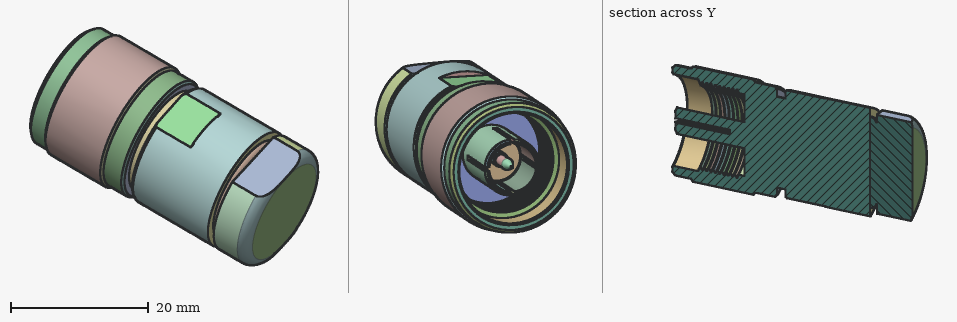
import cadquery as cq
import math

TOTAL_LENGTH = 39.0
OVERCUT = 0.4

SLEEVE_RADIUS = 9.65
GRIP_DIAMETER = 20.0
GRIP_RADIUS = GRIP_DIAMETER / 2
GRIP_START = 3.05
GRIP_END = 13.53
SLEEVE_END = 17.05
FRONT_CHAMFER = 0.5
SMALL_CHAMFER = 0.35

NECK_RADIUS = 8.2
BARREL_DIAMETER = 19.0
BARREL_RADIUS = BARREL_DIAMETER / 2
BARREL_START = 18.35
BARREL_END = 32.13
BARREL_CHAMFER_DEPTH = 0.25
BARREL_FLAT_OFFSET = 8.75
BARREL_FLAT_END = 24.88

MOUTH_RADIUS = 8.42
MOUTH_CHAMFER = 0.25
BORE_END = 4.17
LEAD_IN_LENGTH = 0.43
THREAD_MINOR_RADIUS = 7.45
THREAD_MAJOR_RADIUS = 7.95
THREAD_PITCH = 0.7
THREAD_CREST_WIDTH = 0.1
THREAD_TURNS = 9
CAVITY_FLOOR = 11.7

CONTACT_RADIUS = 4.17
CONTACT_BORE_RADIUS = 3.55
CONTACT_START = 0.45
CONTACT_CHAMFER = 0.3
CONTACT_SLOT_WIDTH = 0.62
CONTACT_SLOT_END = 9.35

PLUG_START = 7.8
PLUG_CHAMFER = 0.2

PIN_RADIUS = 0.85
PIN_TIP_RADIUS = 0.2
PIN_START = 0.97
PIN_TAPER = 2.15
PIN_BASE_RADIUS = 1.05
PIN_BASE_START = 6.25

NUT_RADIUS = BARREL_RADIUS
NUT_START = 33.18
NUT_END_ROUND = 1.6
NUT_RING_ROUND = 0.97
NUT_FLAT_OFFSET = 8.0
NUT_TURN = 1.8


def revolve_about_x(profile):
    return profile.close().revolve(360, (0, 0, 0), (1, 0, 0))


def outer_shape():
    profile = (
        cq.Workplane("XY")
        .moveTo(0, 0)
        .lineTo(0, SLEEVE_RADIUS - FRONT_CHAMFER)
        .lineTo(FRONT_CHAMFER, SLEEVE_RADIUS)
        .lineTo(GRIP_START, SLEEVE_RADIUS)
        .lineTo(GRIP_START + SMALL_CHAMFER, GRIP_RADIUS)
        .lineTo(GRIP_END - SMALL_CHAMFER, GRIP_RADIUS)
        .lineTo(GRIP_END, SLEEVE_RADIUS)
        .lineTo(SLEEVE_END - SMALL_CHAMFER, SLEEVE_RADIUS)
        .lineTo(SLEEVE_END, SLEEVE_RADIUS - SMALL_CHAMFER)
        .lineTo(SLEEVE_END, NECK_RADIUS)
        .lineTo(BARREL_START, NECK_RADIUS)
        .lineTo(BARREL_START, BARREL_RADIUS - BARREL_CHAMFER_DEPTH)
        .lineTo(BARREL_START + SMALL_CHAMFER, BARREL_RADIUS)
        .lineTo(BARREL_END, BARREL_RADIUS)
        .lineTo(BARREL_END, 0)
    )
    return revolve_about_x(profile)


def mating_cavity():
    """Open bore, lead-in cone and ring-shaped thread grooves, down to the floor."""
    bore_radius = MOUTH_RADIUS - MOUTH_CHAMFER
    thread_start = BORE_END + LEAD_IN_LENGTH
    profile = (
        cq.Workplane("XY")
        .moveTo(0, 0)
        .lineTo(0, MOUTH_RADIUS)
        .lineTo(MOUTH_CHAMFER, bore_radius)
        .lineTo(BORE_END, bore_radius)
        .lineTo(thread_start, THREAD_MINOR_RADIUS)
    )
    groove_width = THREAD_PITCH - THREAD_CREST_WIDTH
    for turn in range(THREAD_TURNS):
        groove_start = thread_start + turn * THREAD_PITCH
        profile = (
            profile
            .lineTo(groove_start + groove_width / 2, THREAD_MAJOR_RADIUS)
            .lineTo(groove_start + groove_width, THREAD_MINOR_RADIUS)
            .lineTo(groove_start + THREAD_PITCH, THREAD_MINOR_RADIUS)
        )
    profile = profile.lineTo(CAVITY_FLOOR, THREAD_MINOR_RADIUS).lineTo(CAVITY_FLOOR, 0)
    return revolve_about_x(profile)


def outer_contact():
    """Thin tube around the pin, split into four fingers."""
    profile = (
        cq.Workplane("XY")
        .moveTo(CONTACT_START, CONTACT_BORE_RADIUS)
        .lineTo(CONTACT_START, CONTACT_RADIUS - CONTACT_CHAMFER)
        .lineTo(CONTACT_START + CONTACT_CHAMFER, CONTACT_RADIUS)
        .lineTo(CAVITY_FLOOR, CONTACT_RADIUS)
        .lineTo(CAVITY_FLOOR, CONTACT_BORE_RADIUS)
    )
    tube = revolve_about_x(profile)
    slot_span = 2 * (CONTACT_RADIUS + OVERCUT)
    slot = cq.Workplane("XY").box(
        CONTACT_SLOT_END, CONTACT_SLOT_WIDTH, slot_span, centered=(False, True, True)
    )
    for angle in (0, 90):
        tube = tube.cut(slot.rotate((0, 0, 0), (1, 0, 0), angle))
    return tube


def insulator_plug():
    profile = (
        cq.Workplane("XY")
        .moveTo(PLUG_START, 0)
        .lineTo(PLUG_START, CONTACT_BORE_RADIUS - PLUG_CHAMFER)
        .lineTo(PLUG_START + PLUG_CHAMFER, CONTACT_BORE_RADIUS)
        .lineTo(CAVITY_FLOOR, CONTACT_BORE_RADIUS)
        .lineTo(CAVITY_FLOOR, 0)
    )
    return revolve_about_x(profile)


def centre_pin():
    profile = (
        cq.Workplane("XY")
        .moveTo(PIN_START, 0)
        .lineTo(PIN_START, PIN_TIP_RADIUS)
        .lineTo(PIN_START + PIN_TAPER, PIN_RADIUS)
        .lineTo(PIN_BASE_START, PIN_RADIUS)
        .lineTo(PIN_BASE_START + PIN_BASE_RADIUS - PIN_RADIUS, PIN_BASE_RADIUS)
        .lineTo(CAVITY_FLOOR, PIN_BASE_RADIUS)
        .lineTo(CAVITY_FLOOR, 0)
    )
    return revolve_about_x(profile)


def flat_cutters(start, end, offset):
    """Two blocks, above and below the axis, that leave flats at the given offset."""
    span = 2 * GRIP_RADIUS
    block = cq.Workplane("XY").box(end - start, span, span, centered=(False, True, False))
    upper = block.translate((start, 0, offset))
    return upper.add(upper.rotate((0, 0, 0), (1, 0, 0), 180)).combine()


def build_connector():
    """Front body: coupling sleeve, neck, barrel and the contacts inside it."""
    barrel_flats = flat_cutters(BARREL_START, BARREL_FLAT_END, BARREL_FLAT_OFFSET)
    shell = outer_shape().cut(mating_cavity()).cut(barrel_flats)
    return shell.union(outer_contact()).union(insulator_plug()).union(centre_pin())


def build_clamping_nut():
    """Rear nut with two flats and a narrower ring that meets the barrel end."""
    ring_round_x = NUT_START - NUT_RING_ROUND
    ring_round_r = NECK_RADIUS - NUT_RING_ROUND
    end_round_x = TOTAL_LENGTH - NUT_END_ROUND
    end_round_r = NUT_RADIUS - NUT_END_ROUND
    diagonal = math.sqrt(0.5)
    profile = (
        cq.Workplane("XY")
        .moveTo(BARREL_END, 0)
        .lineTo(BARREL_END, NECK_RADIUS)
        .lineTo(ring_round_x, NECK_RADIUS)
        .threePointArc(
            (ring_round_x + NUT_RING_ROUND * diagonal, ring_round_r + NUT_RING_ROUND * diagonal),
            (NUT_START, ring_round_r),
        )
        .lineTo(NUT_START, NUT_RADIUS)
        .lineTo(end_round_x, NUT_RADIUS)
        .threePointArc(
            (end_round_x + NUT_END_ROUND * diagonal, end_round_r + NUT_END_ROUND * diagonal),
            (TOTAL_LENGTH, end_round_r),
        )
        .lineTo(TOTAL_LENGTH, 0)
    )
    flats = flat_cutters(NUT_START, TOTAL_LENGTH + OVERCUT, NUT_FLAT_OFFSET)
    nut = revolve_about_x(profile).cut(flats)
    return nut.rotate((0, 0, 0), (1, 0, 0), -NUT_TURN)


connector = build_connector()
clamping_nut = build_clamping_nut()
result = cq.Compound.makeCompound([connector.val(), clamping_nut.val()])